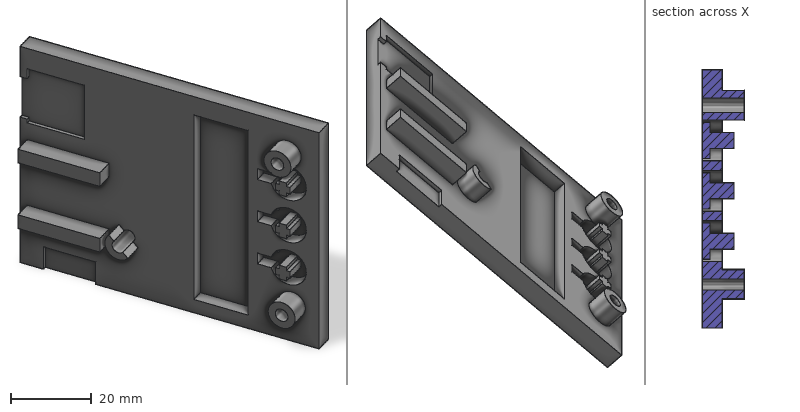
import cadquery as cq

PANEL_WIDTH = 83.7
PANEL_HEIGHT = 64.0
PANEL_THICKNESS = 5.0
EDGE_MARGIN = 2.0

POST_DIAMETER = 7.5
SCREW_HOLE_DIAMETER = 3.5
POST_LENGTH = 5.4
FULL_POSTS = [(74.9, 55.2), (76.1, 10.8)]
HALF_POST = (30.4, 17.1)
HALF_POST_CUT_ANGLE = 45.0

RAIL_LENGTH = 22.9
RAIL_HEIGHT = 4.0
RAIL_DEPTH = 4.9
RAIL_BOTTOMS = [13.6, 33.0]

DISPLAY_LEFT = 48.6
DISPLAY_BOTTOM = 3.9
DISPLAY_WIDTH = 15.15
DISPLAY_HEIGHT = 54.6
DISPLAY_DEPTH = 3.5

RECESS_DEPTH = 1.0
SOCKET_SIZE = 16.0
SOCKET_BOTTOM = 41.95
SOCKET_MOUTH_BOTTOM = 43.0
SOCKET_MOUTH_HEIGHT = 12.0
BOTTOM_NOTCH_LEFT = 6.5
BOTTOM_NOTCH_WIDTH = 14.65
BOTTOM_NOTCH_HEIGHT = 6.6

BUTTON_X = 75.1
BUTTON_MIDDLE_Z = 34.0
BUTTON_PITCH = 12.5
BUTTON_HOLE_DIAMETER = 10.05
BUTTON_GAP = 0.5
BUTTON_DISC_DIAMETER = BUTTON_HOLE_DIAMETER - 2 * BUTTON_GAP
TAB_ROOT_X = 66.5
TAB_LENGTH = BUTTON_X - TAB_ROOT_X
TAB_SLOT_HEIGHT = 3.2
TAB_GAP = 0.25
TAB_HEIGHT = TAB_SLOT_HEIGHT - 2 * TAB_GAP
BUTTON_RECESS = 3.0
STEM_SPAN = 4.0
STEM_ARM_WIDTH = 2.0
STEM_PROTRUSION = 2.9


def block(left, bottom, width, height, front, back):
    """Box given by its lower left corner in X and Z and its extent in Y."""
    corner = cq.Workplane("XY", origin=(left, front, bottom))
    return corner.box(width, back - front, height, centered=False)


def rod(center, diameter, front, back):
    """Cylinder along Y around an (X, Z) center."""
    x, z = center
    return cq.Workplane("XZ", origin=(x, back, z)).circle(diameter / 2).extrude(back - front)


def full_post(center):
    return rod(center, POST_DIAMETER, -POST_LENGTH, 0)


def half_post(center):
    """Post with its upper right half cut away along a sloping plane through its axis."""
    x, z = center
    cutter = block(-POST_DIAMETER, 0, 2 * POST_DIAMETER, POST_DIAMETER, -POST_LENGTH, 0)
    cutter = cutter.rotate((0, 0, 0), (0, 1, 0), HALF_POST_CUT_ANGLE)
    return full_post(center).cut(cutter.translate((x, 0, z)))


def keyhole(z, diameter, slot_height, front, back):
    """Disc joined to a tab that reaches left to the tab root."""
    disc = rod((BUTTON_X, z), diameter, front, back)
    return disc.union(block(TAB_ROOT_X, z - slot_height / 2, TAB_LENGTH, slot_height, front, back))


def button(z):
    """Thin disc and tab flush with the panel back, carrying the cross-shaped stem."""
    body = keyhole(z, BUTTON_DISC_DIAMETER, TAB_HEIGHT, BUTTON_RECESS, PANEL_THICKNESS)
    for width, height in [(STEM_SPAN, STEM_ARM_WIDTH), (STEM_ARM_WIDTH, STEM_SPAN)]:
        left = BUTTON_X - width / 2
        bottom = z - height / 2
        body = body.union(block(left, bottom, width, height, -STEM_PROTRUSION, PANEL_THICKNESS))
    return body


panel = block(0, 0, PANEL_WIDTH, PANEL_HEIGHT, 0, PANEL_THICKNESS)

panel = panel.cut(block(DISPLAY_LEFT, DISPLAY_BOTTOM, DISPLAY_WIDTH, DISPLAY_HEIGHT, 0, DISPLAY_DEPTH))
panel = panel.cut(block(EDGE_MARGIN, SOCKET_BOTTOM, SOCKET_SIZE, SOCKET_SIZE, 0, RECESS_DEPTH))
panel = panel.cut(block(0, SOCKET_MOUTH_BOTTOM, EDGE_MARGIN, SOCKET_MOUTH_HEIGHT, 0, RECESS_DEPTH))
panel = panel.cut(block(BOTTOM_NOTCH_LEFT, 0, BOTTOM_NOTCH_WIDTH, BOTTOM_NOTCH_HEIGHT, 0, RECESS_DEPTH))

for rail_bottom in RAIL_BOTTOMS:
    panel = panel.union(block(EDGE_MARGIN, rail_bottom, RAIL_LENGTH, RAIL_HEIGHT, -RAIL_DEPTH, 0))
for post_center in FULL_POSTS:
    panel = panel.union(full_post(post_center))
panel = panel.union(half_post(HALF_POST))
for hole_center in FULL_POSTS + [HALF_POST]:
    panel = panel.cut(rod(hole_center, SCREW_HOLE_DIAMETER, -POST_LENGTH, PANEL_THICKNESS))

for step in (-1, 0, 1):
    button_z = BUTTON_MIDDLE_Z + step * BUTTON_PITCH
    panel = panel.cut(keyhole(button_z, BUTTON_HOLE_DIAMETER, TAB_SLOT_HEIGHT, 0, PANEL_THICKNESS))
    panel = panel.union(button(button_z))

result = panel